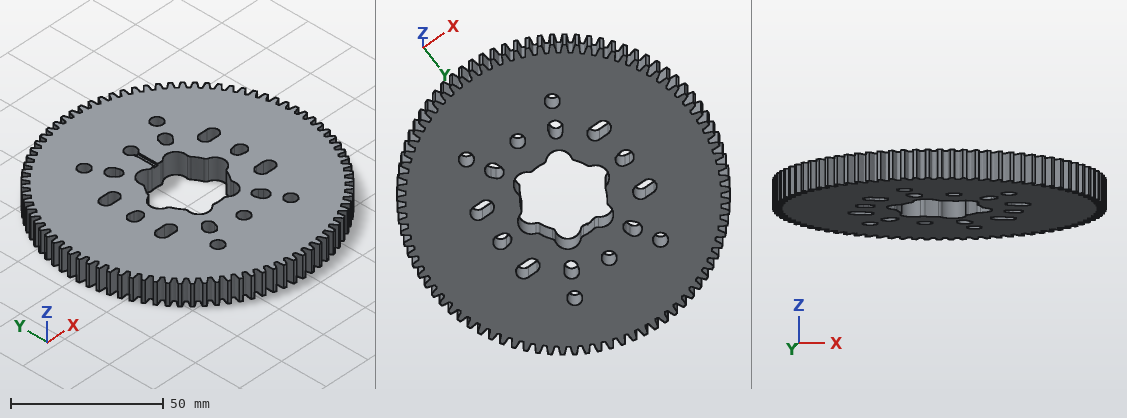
import cadquery as cq
import math

TEETH = 84
OUTER_WIDTH = 109.2
THICKNESS = 9.5
PRESSURE_ANGLE = math.radians(14.5)
DEDENDUM_FACTOR = 1.25
ROOT_FILLET = 0.4
FLANK_STEPS = 3

LOBES = 6
BORE_RADIUS = 14.3
LOBE_RADIUS = 4.4
LOBE_TIP_RADIUS = 17.5
LOBE_CORNER_FILLET = 1.6

HOLE_DIAMETER = 5.0
NARROW_END_DIAMETER = 4.4
INNER_CIRCLE_RADIUS = 23.8
MIDDLE_CIRCLE_RADIUS = 25.4
OUTER_CIRCLE_RADIUS = 34.8
DIAGONAL_ANGLES = (60, 120, 240, 300)
VERTICAL_ANGLES = (90, 270)
TAPERED_SLOT_ANGLES = DIAGONAL_ANGLES + (0, 180)
SIDE_SLOT_ANGLE = math.radians(30)

GROOVE_WIDTH = 1.6
GROOVE_DEPTH = 0.7


def polar(radius, angle):
    """Point at a radius and an angle in radians."""
    return radius * math.cos(angle), radius * math.sin(angle)


def involute(pressure_angle):
    """Involute function of a pressure angle in radians."""
    return math.tan(pressure_angle) - pressure_angle


def gap_half_angle(radius_ratio):
    """Half of the angle that a tooth gap spans, at a radius given as a multiple of the pitch radius."""
    local_pressure_angle = math.acos(math.cos(PRESSURE_ANGLE) / radius_ratio)
    half_gap_at_pitch = math.pi / (2 * TEETH)
    return half_gap_at_pitch - involute(PRESSURE_ANGLE) + involute(local_pressure_angle)


TIP_RATIO = (TEETH + 2) / TEETH
TIP_CORNER_ANGLE = gap_half_angle(TIP_RATIO)
TIP_RADIUS = OUTER_WIDTH / 2 / math.cos(TIP_CORNER_ANGLE)
PITCH_RADIUS = TIP_RADIUS / TIP_RATIO
MODULE = 2 * PITCH_RADIUS / TEETH
ROOT_RADIUS = PITCH_RADIUS - DEDENDUM_FACTOR * MODULE


def gap_side(side):
    """Radius and angle pairs from tooth tip to root fillet; side is -1 or 1 about the gap centre."""
    flank_start = ROOT_RADIUS + ROOT_FILLET
    flank_step = (TIP_RADIUS - flank_start) / FLANK_STEPS
    flank_radii = [TIP_RADIUS - step * flank_step for step in range(FLANK_STEPS + 1)]
    points = [(radius, side * gap_half_angle(radius / PITCH_RADIUS)) for radius in flank_radii]

    fillet_inset = ROOT_FILLET * (1 - math.sqrt(0.5))
    fillet_half = gap_half_angle(flank_start / PITCH_RADIUS) - fillet_inset / ROOT_RADIUS
    points.append((ROOT_RADIUS + fillet_inset, side * fillet_half))
    return points


def gear_blank():
    """Solid disc with involute teeth; one smooth curve forms both flanks and the root of each gap."""
    pitch_angle = 2 * math.pi / TEETH
    gap_points = gap_side(-1) + [(ROOT_RADIUS, 0)] + gap_side(1)[::-1]

    outline = cq.Workplane("XY").moveTo(*polar(TIP_RADIUS, -TIP_CORNER_ANGLE))
    for gap in range(TEETH):
        center = gap * pitch_angle
        curve = [polar(radius, center + angle) for radius, angle in gap_points]
        outline = outline.spline(curve[1:], includeCurrent=True).threePointArc(
            polar(TIP_RADIUS, center + pitch_angle / 2),
            polar(TIP_RADIUS, center + pitch_angle - TIP_CORNER_ANGLE),
        )
    return outline.close().extrude(THICKNESS)


def lobed_bore():
    """Cutter for the central bore, with its twelve corners rounded."""
    lobes = (
        cq.Workplane("XY")
        .polarArray(LOBE_TIP_RADIUS - LOBE_RADIUS, 0, 360, LOBES)
        .circle(LOBE_RADIUS)
        .extrude(THICKNESS)
    )
    bore = cq.Workplane("XY").circle(BORE_RADIUS).extrude(THICKNESS).union(lobes)

    def is_corner(edge):
        middle = edge.Center()
        return math.isclose(math.hypot(middle.x, middle.y), BORE_RADIUS, rel_tol=1e-4)

    return bore.edges("|Z").filter(is_corner).fillet(LOBE_CORNER_FILLET)


def holes(radius, angles, diameter):
    """Cutters for through holes on a circle, at angles in degrees."""
    points = [polar(radius, math.radians(angle)) for angle in angles]
    return cq.Workplane("XY").pushPoints(points).circle(diameter / 2).extrude(THICKNESS)


def tapered_slots():
    """Cutters for radial slots with a wide outer end, a narrow inner end and tangent sides."""
    wide_radius = HOLE_DIAMETER / 2
    narrow_radius = NARROW_END_DIAMETER / 2
    end_spacing = MIDDLE_CIRCLE_RADIUS - INNER_CIRCLE_RADIUS
    taper = math.pi / 2 + math.asin((wide_radius - narrow_radius) / end_spacing)
    wide_x, wide_y = polar(wide_radius, taper)
    narrow_x, narrow_y = polar(narrow_radius, taper)
    slot = (
        cq.Workplane("XY")
        .moveTo(MIDDLE_CIRCLE_RADIUS + wide_x, -wide_y)
        .threePointArc((MIDDLE_CIRCLE_RADIUS + wide_radius, 0), (MIDDLE_CIRCLE_RADIUS + wide_x, wide_y))
        .lineTo(INNER_CIRCLE_RADIUS + narrow_x, narrow_y)
        .threePointArc((INNER_CIRCLE_RADIUS - narrow_radius, 0), (INNER_CIRCLE_RADIUS + narrow_x, -narrow_y))
        .close()
        .extrude(THICKNESS)
    )
    slots = cq.Workplane("XY")
    for angle in TAPERED_SLOT_ANGLES:
        slots = slots.add(slot.rotate((0, 0, 0), (0, 0, 1), angle))
    return slots.combine()


def side_slots():
    """Cutters for four slots along X, running outward from the middle hole circle."""
    inner_x, slot_y = polar(MIDDLE_CIRCLE_RADIUS, SIDE_SLOT_ANGLE)
    outer_x = MIDDLE_CIRCLE_RADIUS
    centers = [
        (side_x * (inner_x + outer_x) / 2, side_y * slot_y)
        for side_x in (-1, 1)
        for side_y in (-1, 1)
    ]
    length = outer_x - inner_x + HOLE_DIAMETER
    return cq.Workplane("XY").pushPoints(centers).slot2D(length, HOLE_DIAMETER).extrude(THICKNESS)


def alignment_groove():
    """Cutter for the shallow groove in the top face, along +Y."""
    return cq.Workplane("XY").box(
        GROOVE_WIDTH, MIDDLE_CIRCLE_RADIUS, GROOVE_DEPTH, centered=(True, False, False)
    ).translate((0, 0, THICKNESS - GROOVE_DEPTH))


result = (
    gear_blank()
    .cut(lobed_bore())
    .cut(holes(OUTER_CIRCLE_RADIUS, DIAGONAL_ANGLES, HOLE_DIAMETER))
    .cut(holes(MIDDLE_CIRCLE_RADIUS, VERTICAL_ANGLES, HOLE_DIAMETER))
    .cut(tapered_slots())
    .cut(side_slots())
    .cut(alignment_groove())
)